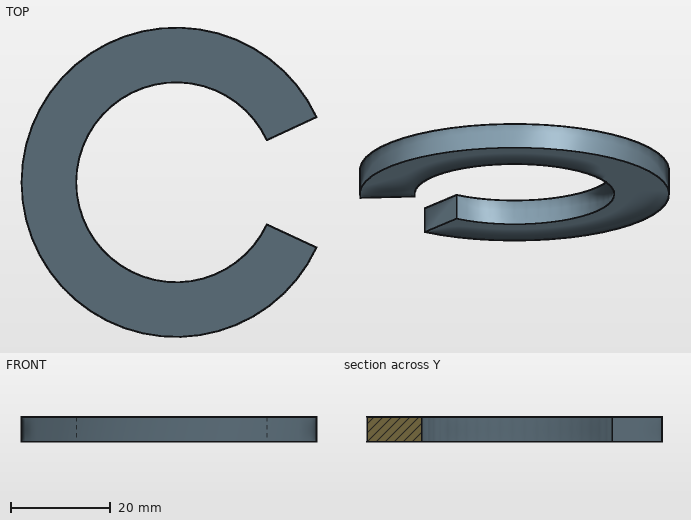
import cadquery as cq
import math

outer_radius = 31.0
inner_radius = 20.0
thickness = 5.0
gap_half_angle = 24.9


def polar_point(radius, angle):
    """Point at the given radius and angle (degrees from +X)."""
    radians = math.radians(angle)
    return (radius * math.cos(radians), radius * math.sin(radians))


def open_ring():
    """Flat C-shaped ring, open towards +X, with radial end faces."""
    return (
        cq.Workplane("XY")
        .moveTo(*polar_point(outer_radius, gap_half_angle))
        .threePointArc((-outer_radius, 0), polar_point(outer_radius, -gap_half_angle))
        .lineTo(*polar_point(inner_radius, -gap_half_angle))
        .threePointArc((-inner_radius, 0), polar_point(inner_radius, gap_half_angle))
        .close()
        .extrude(thickness)
    )


result = open_ring()